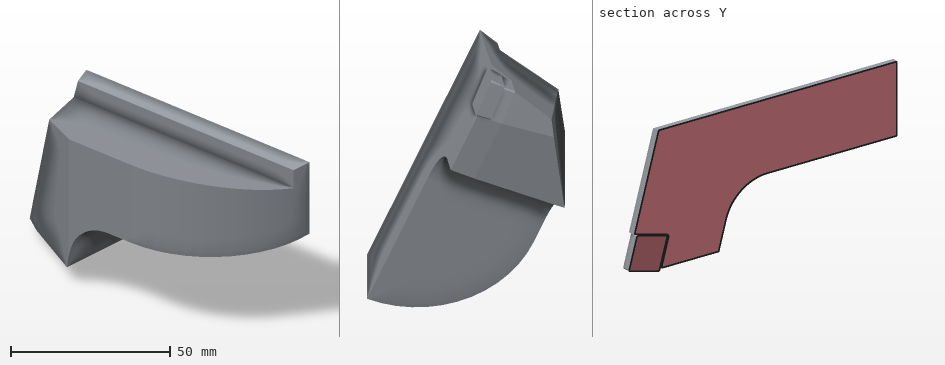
import cadquery as cq
import math


def tan(degrees):
    return math.tan(math.radians(degrees))


def cos(degrees):
    return math.cos(math.radians(degrees))


overall_length = 101.5
top_z = 51.9
front_depth = 40.0

front_flat_left = 36.4
front_chamfer_angle = 30.0
end_radius = front_depth

top_slope_angle = 15.0
strip_width = 7.1
strip_z = 49.6

lead_angle = 15.0
flank_back_angle = 18.8
flank_top_x = 10.8

bottom_z = 1.1
bottom_clearance_angle = 6.0
end_clearance_angle = 5.3
end_face_right = 12.2

overhang_z = 23.5
neck_bottom_x = 34.2
neck_angle = 15.0
neck_radius = 16.0

insert_side = 12.7
insert_nose_radius = 0.8
insert_thickness = 5.0
insert_proud = 0.7
insert_clearance_angle = 7.0
seat_depth = 8.0
seat_nose_radius = 0.5

margin = 20.3

insert_lean = math.radians(lead_angle)
insert_centre = (
    (insert_side / 2 - insert_nose_radius) * (math.cos(insert_lean) + math.sin(insert_lean))
    + insert_nose_radius
)


def flank_x(z, depth):
    """X of the left flank at height z and at a depth in front of the back face."""
    return flank_top_x - (strip_z - z) * tan(lead_angle) + depth * tan(flank_back_angle)


def underside_z(depth):
    return bottom_z + (depth - seat_depth) * tan(bottom_clearance_angle)


def end_face_z(x, depth):
    """Height of the tilted end face below the insert."""
    rise = (depth - seat_depth) * tan(end_clearance_angle)
    return bottom_z + (end_face_right - x) * tan(lead_angle) + rise


def nose_corner(depth):
    """Point (x, z) where the left flank meets the end face."""
    slope = tan(lead_angle)
    x = (flank_x(0, depth) + slope * end_face_z(0, depth)) / (1 + slope**2)
    return x, end_face_z(x, depth)


def end_corner(depth):
    """Point (x, z) where the end face meets the underside."""
    z = underside_z(depth)
    return (end_face_z(0, depth) - z) / tan(lead_angle), z


def section(depth):
    """Cross-section of the flank and underside at one depth."""
    return cq.Wire.makePolygon(
        [
            cq.Vector(x, -depth, z)
            for x, z in [
                (flank_x(top_z, depth), top_z),
                nose_corner(depth),
                end_corner(depth),
                (overall_length, underside_z(depth)),
                (overall_length, top_z),
            ]
        ],
        close=True,
    )


def plan_prism():
    chamfer_run = front_depth / tan(front_chamfer_angle)
    arc_centre_x = overall_length - end_radius
    arc_mid = end_radius * cos(45)
    return (
        cq.Workplane("XY")
        .moveTo(overall_length, 0)
        .threePointArc((arc_centre_x + arc_mid, -arc_mid), (arc_centre_x, -front_depth))
        .lineTo(front_flat_left, -front_depth)
        .lineTo(front_flat_left - chamfer_run, 0)
        .close()
        .extrude(top_z)
    )


def top_cut():
    """Removes the sloped top in front of the strip and trims the strip."""
    step_z = top_z - (front_depth - strip_width) * tan(top_slope_angle)
    return (
        cq.Workplane("YZ", origin=(-margin, 0, 0))
        .polyline(
            [
                (0, strip_z),
                (-strip_width, strip_z),
                (-strip_width, step_z),
                (-front_depth, top_z),
                (-front_depth, top_z + margin),
                (0, top_z + margin),
            ]
        )
        .close()
        .extrude(overall_length + 2 * margin)
    )


def neck_cut():
    corner_x = neck_bottom_x + (overhang_z - bottom_z) * tan(neck_angle)
    low_z = bottom_z - margin
    return (
        cq.Workplane("XZ")
        .polyline(
            [
                (neck_bottom_x - margin * tan(neck_angle), low_z),
                (corner_x, overhang_z),
                (overall_length + margin, overhang_z),
                (overall_length + margin, low_z),
            ]
        )
        .close()
        .extrude(front_depth)
        .edges(cq.selectors.NearestToPointSelector((corner_x, -front_depth / 2, overhang_z)))
        .fillet(neck_radius)
    )


def insert_outline(start_y):
    """Rounded square of the insert, tilted by the lead angle, on the plane Y = start_y."""
    square = (
        cq.Sketch()
        .rect(insert_side, insert_side)
        .vertices()
        .fillet(insert_nose_radius)
    )
    plane = cq.Workplane("XZ", origin=(insert_centre, start_y, insert_centre))
    return plane.transformed(rotate=(0, 0, -lead_angle)).placeSketch(square)


def seat_cut():
    """Relief around the insert: cuts the flank and underside back to their shape at seat_depth."""
    half_side = insert_side / 2
    slope = tan(lead_angle)
    upper_at_zero = insert_centre * (1 + slope) + half_side / cos(lead_angle)
    wall_x = (flank_x(0, seat_depth) + slope * upper_at_zero) / (1 + slope**2)
    nose_x, nose_z = nose_corner(seat_depth)
    relief = (
        cq.Workplane("XZ")
        .polyline(
            [
                (-margin, upper_at_zero + margin * slope),
                (wall_x, upper_at_zero - wall_x * slope),
                (nose_x, nose_z),
                end_corner(seat_depth),
                (overall_length, bottom_z),
                (overall_length, -margin),
                (-margin, -margin),
            ]
        )
        .close()
        .extrude(seat_depth)
    )
    nose_edge = cq.selectors.NearestToPointSelector((nose_x, -seat_depth / 2, nose_z))
    return relief.edges(nose_edge).fillet(seat_nose_radius)


def make_holder():
    flank_and_underside = cq.Workplane(
        cq.Solid.makeLoft([section(0), section(front_depth)], ruled=True)
    )
    pocket = insert_outline(0).extrude(insert_thickness - insert_proud)
    return (
        plan_prism()
        .intersect(flank_and_underside)
        .cut(top_cut())
        .cut(neck_cut())
        .cut(seat_cut())
        .cut(pocket)
    )


def make_insert():
    return insert_outline(insert_proud).extrude(insert_thickness, taper=insert_clearance_angle)


holder = make_holder()
cutting_insert = make_insert()
result = cq.Compound.makeCompound([holder.val(), cutting_insert.val()])